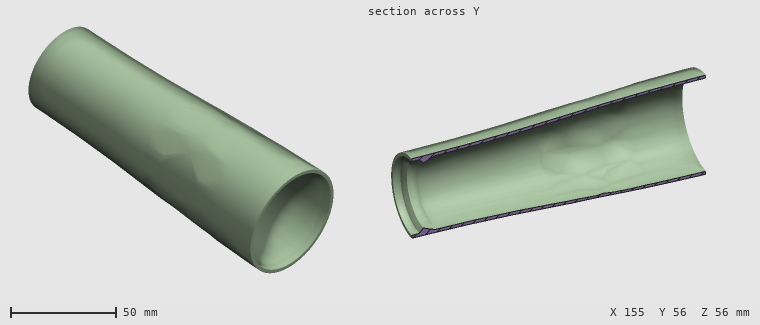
import cadquery as cq
import math

length = 155.0
narrow_radius = 22.5
wide_diameter = 56.0
wide_radius = wide_diameter / 2
middle_radius = 25.0
wall = 1.9
collar_length = 4.0

throat_radius = 18.1
throat_position = 6.2
throat_end = 12.4

middle = length / 2
flare_end = length - collar_length


def flare_arcs(profile, start, inset):
    """Continue a level line with two tangent arcs up to the wide collar."""
    run = middle - start
    rise = middle_radius - narrow_radius
    arc_radius = (run**2 + rise**2) / (2 * rise)
    half_angle = math.asin(run / arc_radius) / 2
    arc_midpoint = (
        start + arc_radius * math.sin(half_angle),
        narrow_radius - inset + arc_radius * (1 - math.cos(half_angle)),
    )
    return (
        profile
        .threePointArc(arc_midpoint, (middle, middle_radius - inset))
        .tangentArcPoint((flare_end, wide_radius - inset), relative=False)
        .lineTo(length, wide_radius - inset)
    )


def revolve_about_x(profile):
    """Close the half profile along the axis and revolve it around X."""
    return profile.lineTo(length, 0).close().revolve(360, (0, 0, 0), (1, 0, 0))


def outer_body():
    """Outer skin: straight collars joined by an S-shaped flare."""
    profile = cq.Workplane("XZ").lineTo(0, narrow_radius).lineTo(collar_length, narrow_radius)
    return revolve_about_x(flare_arcs(profile, collar_length, 0))


def bore():
    """Through bore with a ridge near the mouth, then an even wall to the wide end."""
    bore_radius = narrow_radius - wall
    profile = (
        cq.Workplane("XZ")
        .lineTo(0, bore_radius)
        .lineTo(collar_length, bore_radius)
        .lineTo(throat_position, throat_radius)
        .lineTo(throat_end, bore_radius)
    )
    return revolve_about_x(flare_arcs(profile, throat_end, wall))


result = outer_body().cut(bore()).translate((-middle, 0, 0))